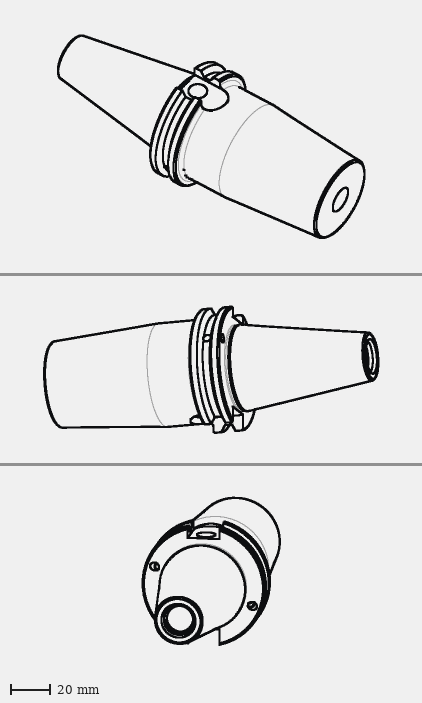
import cadquery as cq
import math

total_length = 168.2
gauge_x = 68.3
neck_x = 69.5
flange_front_x = 71.3
flange_back_x = 87.3
body_cone_x = 111.4

gauge_diameter = 44.5
taper_ratio = 7 / 24
neck_diameter = 43.5
flange_diameter = 63.3
body_diameter = 53.0
nose_diameter = 44.0

end_chamfer = 0.8
flange_chamfer = 0.8
neck_fillet = 0.5
body_fillet = 2.0

groove_x = 79.2
groove_floor_diameter = 56.4
groove_floor_width = 3.7
groove_flank_angle = 30

bore_diameter = 13.5
counterbore_diameter = 15.8
counterbore_depth = 4.2
countersink_diameter = 17.7
countersink_depth = 1.9

slot_width = 16.3
slot_end_center_x = 88.3
top_slot_floor = 25.0
bottom_slot_floor = 22.4

dimple_diameter = 9.6
dimple_point_angle = 120

coolant_angle = 20
coolant_tilt = 30
coolant_face_radius = 27.0
coolant_entry_diameter = 4.0
coolant_entry_depth = 2.7
coolant_bore_diameter = 3.2
groove_hole_diameter = 4.0

cut_margin = 3.4


def make_outer_shape():
    """Revolve the outer outline of taper, flange and body about X."""
    gauge_r = gauge_diameter / 2
    neck_r = neck_diameter / 2
    flange_r = flange_diameter / 2
    body_r = body_diameter / 2
    nose_r = nose_diameter / 2
    floor_r = groove_floor_diameter / 2

    taper_slope = taper_ratio / 2
    small_end_r = gauge_r - gauge_x * taper_slope
    nose_slope = (body_r - nose_r) / (total_length - body_cone_x)

    half_floor = groove_floor_width / 2
    half_mouth = half_floor + (flange_r - floor_r) * math.tan(math.radians(groove_flank_angle))

    body_fillet_end_x = flange_back_x + body_fillet
    body_fillet_start_r = body_r + body_fillet
    body_reach = body_fillet * math.sqrt(0.5)
    body_fillet_mid = (body_fillet_end_x - body_reach, body_fillet_start_r - body_reach)

    neck_fillet_start_x = flange_front_x - neck_fillet
    neck_fillet_end_r = neck_r + neck_fillet
    neck_reach = neck_fillet * math.sqrt(0.5)
    neck_fillet_mid = (neck_fillet_start_x + neck_reach, neck_fillet_end_r - neck_reach)

    outline = (
        cq.Workplane("XY")
        .moveTo(0, 0)
        .lineTo(0, small_end_r - end_chamfer)
        .lineTo(end_chamfer, small_end_r + end_chamfer * taper_slope)
        .lineTo(gauge_x, gauge_r)
        .lineTo(neck_x, neck_r)
        .lineTo(neck_fillet_start_x, neck_r)
        .threePointArc(neck_fillet_mid, (flange_front_x, neck_fillet_end_r))
        .lineTo(flange_front_x, flange_r - flange_chamfer)
        .lineTo(flange_front_x + flange_chamfer, flange_r)
        .lineTo(groove_x - half_mouth, flange_r)
        .lineTo(groove_x - half_floor, floor_r)
        .lineTo(groove_x + half_floor, floor_r)
        .lineTo(groove_x + half_mouth, flange_r)
        .lineTo(flange_back_x - flange_chamfer, flange_r)
        .lineTo(flange_back_x, flange_r - flange_chamfer)
        .lineTo(flange_back_x, body_fillet_start_r)
        .threePointArc(body_fillet_mid, (body_fillet_end_x, body_r))
        .lineTo(body_cone_x, body_r)
        .lineTo(total_length - end_chamfer, nose_r + end_chamfer * nose_slope)
        .lineTo(total_length, nose_r - end_chamfer)
        .lineTo(total_length, 0)
        .close()
    )
    return outline.revolve(360, (0, 0, 0), (1, 0, 0))


def make_bore():
    """Through bore with a counterbore and countersink at the small end."""
    bore_r = bore_diameter / 2
    counterbore_r = counterbore_diameter / 2
    outline = (
        cq.Workplane("XY")
        .moveTo(0, 0)
        .lineTo(0, countersink_diameter / 2)
        .lineTo(countersink_depth, counterbore_r)
        .lineTo(counterbore_depth, counterbore_r)
        .lineTo(counterbore_depth, bore_r)
        .lineTo(total_length, bore_r)
        .lineTo(total_length, 0)
        .close()
    )
    return outline.revolve(360, (0, 0, 0), (1, 0, 0))


def make_drive_slot(floor_distance, side):
    """Slot on the +Z (side = 1) or -Z (side = -1) part of the flange."""
    height = flange_diameter / 2 + cut_margin - floor_distance
    half_width = slot_width / 2
    return (
        cq.Workplane("XY", origin=(0, 0, side * floor_distance))
        .moveTo(flange_front_x, -half_width)
        .lineTo(slot_end_center_x, -half_width)
        .threePointArc((slot_end_center_x + half_width, 0), (slot_end_center_x, half_width))
        .lineTo(flange_front_x, half_width)
        .close()
        .extrude(side * height)
    )


def make_dimple():
    """Cone pointing down from the floor of the top slot."""
    radius = dimple_diameter / 2
    depth = radius / math.tan(math.radians(dimple_point_angle / 2))
    start = cq.Vector(groove_x, 0, top_slot_floor)
    return cq.Solid.makeCone(radius, 0, depth, start, cq.Vector(0, 0, -1))


def make_coolant_hole():
    """Inclined stepped hole and its radial hole, placed in the XY plane on the +Y side."""
    tilt = math.radians(coolant_tilt)
    direction = cq.Vector(math.cos(tilt), -math.sin(tilt), 0)
    entry = cq.Vector(flange_front_x, coolant_face_radius, 0)

    run_to_groove = groove_x - flange_front_x
    meeting_radius = coolant_face_radius - run_to_groove * math.tan(tilt)

    entry_hole = cq.Solid.makeCylinder(
        coolant_entry_diameter / 2,
        coolant_entry_depth + cut_margin,
        entry - direction * cut_margin,
        direction,
    )
    inclined_bore = cq.Solid.makeCylinder(
        coolant_bore_diameter / 2, run_to_groove / math.cos(tilt), entry, direction
    )
    radial_bottom = meeting_radius - coolant_bore_diameter / 2
    radial_hole = cq.Solid.makeCylinder(
        groove_hole_diameter / 2,
        flange_diameter / 2 - radial_bottom,
        cq.Vector(groove_x, radial_bottom, 0),
        cq.Vector(0, 1, 0),
    )
    return cq.Workplane(entry_hole).union(inclined_bore).union(radial_hole)


result = make_outer_shape().cut(make_bore())
result = result.cut(make_drive_slot(top_slot_floor, 1))
result = result.cut(make_drive_slot(bottom_slot_floor, -1))
result = result.cut(make_dimple())

for half_turn in (0, 180):
    coolant_hole = make_coolant_hole().rotate((0, 0, 0), (1, 0, 0), coolant_angle + half_turn)
    result = result.cut(coolant_hole)